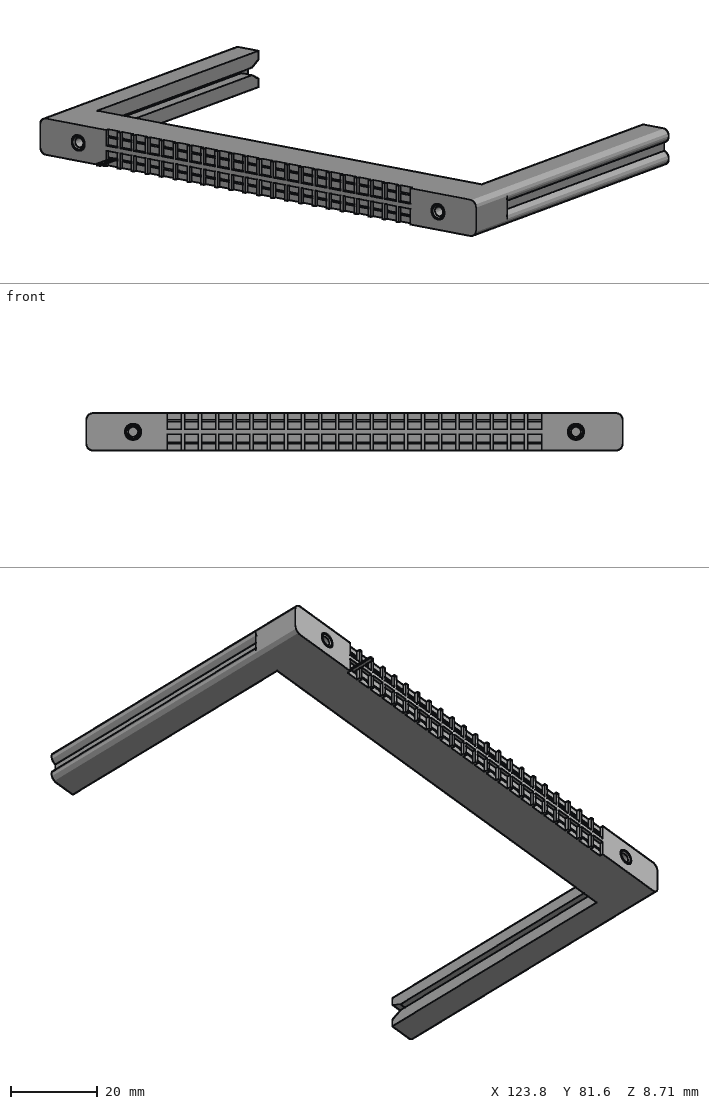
import cadquery as cq
import math

frame_length = 123.83
frame_height = 8.71
overall_depth = 81.61
pin_reach = 5.3
frame_depth = overall_depth - pin_reach
bar_depth = 12.4
arm_width = 7.3
edge_radius = 1.65
half_length = frame_length / 2
half_height = frame_height / 2

arm_length = frame_depth - bar_depth
outer_groove_depth = 1.3
lip_radius = 1.75
lip_top = half_height - edge_radius
guide_groove_depth = 3.0
guide_groove_height = 1.8
guide_flare_length = 2.6
guide_flare_rise = 1.4

cell_count = 22
cell_pitch = 3.96
cell_width = 3.2
cell_depth = 0.85
cell_divider = 1.2
cell_height = half_height - cell_divider / 2
slot_height = 0.4
slot_depth = 8.0
slot_inset = 1.8
slot_offset = half_height - slot_inset
first_cell_x = -cell_pitch * (cell_count - 1) / 2

pin_width = 1.0

insert_spacing = 102.2
insert_diameter = 3.8
insert_bore = 2.3
insert_chamfer = 0.4
insert_length = 8.0
insert_xs = (-insert_spacing / 2, insert_spacing / 2)


def box(width, depth, height, x, front_y, z):
    """Box centred on x and z that runs toward +Y from front_y."""
    return cq.Workplane("XY").box(width, depth, height, centered=(True, False, True)).translate((x, front_y, z))


def cylinder_along_y(diameter, length, x):
    """Cylinder at mid height that runs toward +Y from the front face."""
    return cq.Workplane("XZ").center(x, 0).circle(diameter / 2).extrude(-length)


def make_frame():
    """U-shaped frame with its long outer edges rounded."""
    block = box(frame_length, frame_depth, frame_height, 0, 0, 0).edges("|Y").fillet(edge_radius)
    opening = box(frame_length - 2 * arm_width, arm_length, frame_height, 0, bar_depth, 0)
    return block.cut(opening)


def lip_x(angle):
    """Distance inward from the outer face to the lip surface at an angle from its outermost line."""
    return lip_radius * (1 - math.cos(angle))


def lip_z(angle):
    """Height of the lip surface above mid height at an angle from its outermost line."""
    return lip_top - lip_radius * math.sin(angle)


def make_outer_groove(side):
    """Groove along the outside of one arm, with a flat bottom between two rounded lips."""
    outer_x = side * half_length
    end_angle = math.acos(1 - outer_groove_depth / lip_radius)
    bottom_x = outer_x - side * lip_x(end_angle)
    bottom_z = lip_z(end_angle)
    arc_x = outer_x - side * lip_x(end_angle / 2)
    arc_z = lip_z(end_angle / 2)
    profile = (
        cq.Workplane("XZ", origin=(0, bar_depth, 0))
        .moveTo(bottom_x, -bottom_z)
        .threePointArc((arc_x, -arc_z), (outer_x, -lip_top))
        .lineTo(outer_x, lip_top)
        .threePointArc((arc_x, arc_z), (bottom_x, bottom_z))
        .close()
    )
    return profile.extrude(-arm_length)


def make_guide_groove(side):
    """Square card guide groove along the inside of one arm, flared at the tip of the arm."""
    groove_half = guide_groove_height / 2
    mouth_half = groove_half + guide_flare_rise
    flare_y = frame_depth - guide_flare_length
    inner_x = side * (half_length - arm_width)
    profile = (
        cq.Workplane("YZ", origin=(inner_x, 0, 0))
        .moveTo(bar_depth, -groove_half)
        .lineTo(flare_y, -groove_half)
        .lineTo(frame_depth, -mouth_half)
        .lineTo(frame_depth, mouth_half)
        .lineTo(flare_y, groove_half)
        .lineTo(bar_depth, groove_half)
        .close()
    )
    return profile.extrude(side * guide_groove_depth)


def cut_arm_grooves(body):
    """Cut the outer groove and the card guide groove of both arms."""
    for side in (-1, 1):
        body = body.cut(make_outer_groove(side))
        body = body.cut(make_guide_groove(side))
    return body


def cut_contact_cells(body):
    """Cut two rows of shallow cells in the front face, each with a contact slot in its floor."""
    for index in range(cell_count):
        x = first_cell_x + index * cell_pitch
        for row in (-1, 1):
            cell_z = row * (half_height - cell_height / 2)
            body = body.cut(box(cell_width, cell_depth, cell_height, x, 0, cell_z))
            body = body.cut(box(cell_width, slot_depth, slot_height, x, 0, row * slot_offset))
    return body


def make_housing():
    body = cut_contact_cells(cut_arm_grooves(make_frame()))
    for x in insert_xs:
        body = body.cut(cylinder_along_y(insert_diameter, insert_length, x))
    return body


def make_contact_pin():
    """Flat pin that fills the height of the first lower slot and stands out of the front face."""
    return box(pin_width, pin_reach + slot_depth, slot_height, first_cell_x, -pin_reach, -slot_offset)


def make_insert(x):
    """Tubular insert, flush with the front face, with a chamfered bore mouth."""
    tube = cylinder_along_y(insert_diameter, insert_length, x)
    tube = tube.cut(cylinder_along_y(insert_bore, insert_length, x))
    return tube.faces("<Y").edges(cq.selectors.RadiusNthSelector(0)).chamfer(insert_chamfer)


housing = make_housing()
contact_pin = make_contact_pin()
inserts = [make_insert(x) for x in insert_xs]

result = cq.Compound.makeCompound([
    housing.val(),
    contact_pin.val(),
    *[insert.val() for insert in inserts],
])